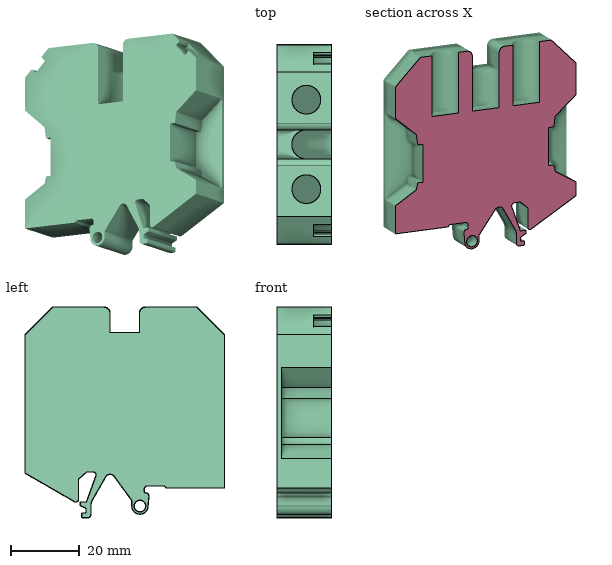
import cadquery as cq
import math

thickness = 15.9
length = 58.0
height = 61.25
half_length = length / 2

top_chamfer = 8.0
underside_z = 8.65
skirt_top_z = 13.0
skirt_inner_y = 13.4
skirt_angle = 30.0
skirt_tip_z = skirt_top_z - (half_length - skirt_inner_y) * math.tan(math.radians(skirt_angle))

notch_half_width = 4.2
notch_depth = 7.35
notch_round = 1.85
notch_floor_z = height - notch_depth

bore_radius = 4.15
bore_x = 8.6
bore_y = 13.0
bore_depth = 18.4
bore_floor_z = height - bore_depth

eye_y = -4.4
eye_z = 3.4
eye_radius = 2.4
eye_hole_radius = 1.65

entry_wall = 1.3
entry_top_z = 43.6
entry_upper_step_z = 37.9
entry_ceiling_z = 34.65
entry_floor_z = 23.35
entry_lower_step_z = 21.25
entry_bottom_z = 17.2
entry_funnel_depth = 6.7
entry_lip_depth = 7.15
entry_depth = 8.75

marker_length = 5.3
marker_mouth = 4.8
marker_neck = 4.2
marker_neck_depth = 0.75
marker_side_depth = 1.5
marker_depth = 1.8
marker_floor = marker_mouth - 2 * (marker_depth - marker_side_depth)


def rounded_corner(before, corner, after, radius):
    """Start, middle and end of the arc that rounds a corner between two straight lines."""
    p = cq.Vector(*corner)
    to_before = (cq.Vector(*before) - p).normalized()
    to_after = (cq.Vector(*after) - p).normalized()
    half_angle = to_before.getAngle(to_after) / 2
    tangent = radius / math.tan(half_angle)
    bisector = (to_before + to_after).normalized()
    middle = p + bisector * (radius / math.sin(half_angle) - radius)
    return [v.toTuple()[:2] for v in (p + to_before * tangent, middle, p + to_after * tangent)]


def prism(corners, x_start, x_length):
    """Extrude along X a closed (y, z, corner radius) outline; its first corner must be sharp."""
    points = [(y, z) for y, z, _ in corners]
    outline = cq.Workplane("YZ", origin=(x_start, 0, 0)).moveTo(*points[0])
    for i in range(1, len(corners)):
        radius = corners[i][2]
        if radius > 0:
            after = points[(i + 1) % len(points)]
            start, middle, end = rounded_corner(points[i - 1], points[i], after, radius)
            outline = outline.lineTo(*start).threePointArc(middle, end)
        else:
            outline = outline.lineTo(*points[i])
    return outline.close().extrude(x_length)


def housing():
    """Plate-shaped body with the top notch, the skirt, the spring hook and the hinge leg."""
    skirt = [
        (half_length, skirt_top_z, 0),
        (skirt_inner_y, skirt_tip_z, 0.8),
        (skirt_inner_y, 11.2, 0),
        (11.1, 13.3, 0),
        (8.0, 13.3, 0.8),
    ]
    hook = [
        (11.15, 4.65, 0),
        (13.0, 4.65, 0.2),
        (13.0, 3.55, 0.2),
        (11.3, 2.75, 0.35),
        (11.3, 1.5, 0.2),
        (12.55, 1.5, 0.3),
        (12.55, 0, 0.55),
        (9.8, 0, 1.0),
        (9.8, 3.05, 0),
        (9.75, 4.55, 3.7),
    ]
    hinge_leg = [
        (4.4, 13.85, 1.5),
        (eye_y + eye_radius, 5.0, 0),
        (eye_y + eye_radius, eye_z, 0),
        (eye_y - eye_radius, eye_z, 0),
        (-7.05, 6.0, 0),
        (-7.05, 7.3, 0.9),
        (-5.7, 7.3, 0.35),
        (-5.7, 9.25, 0.85),
    ]
    underside = [
        (-11.5, 9.25, 0),
        (-12.05, underside_z, 0),
        (-half_length, underside_z, 0),
    ]
    top = [
        (-half_length, height - top_chamfer, 0),
        (-half_length + top_chamfer, height, 0),
        (-notch_half_width, height, notch_round),
        (-notch_half_width, notch_floor_z, 0),
        (notch_half_width, notch_floor_z, 0),
        (notch_half_width, height, notch_round),
        (half_length - top_chamfer, height, 0),
        (half_length, height - top_chamfer, 0),
    ]
    body = prism(skirt + hook + hinge_leg + underside + top, 0, thickness)
    eye = cq.Workplane("YZ").center(eye_y, eye_z).circle(eye_radius).extrude(thickness)
    eye_hole = cq.Workplane("YZ").center(eye_y, eye_z).circle(eye_hole_radius).extrude(thickness)
    return body.union(eye).cut(eye_hole)


def screw_bores():
    """Two blind bores down from the top face."""
    return (
        cq.Workplane("XY", origin=(bore_x, 0, bore_floor_z))
        .pushPoints([(0, bore_y), (0, -bore_y)])
        .circle(bore_radius)
        .extrude(bore_depth)
    )


def notch_slot():
    """Slot as wide as the notch, round at its inner end and open on the +X face."""
    return (
        cq.Workplane("XY", origin=(0, 0, bore_floor_z))
        .moveTo(thickness, notch_half_width)
        .lineTo(bore_x, notch_half_width)
        .threePointArc((bore_x - notch_half_width, 0), (bore_x, -notch_half_width))
        .lineTo(thickness, -notch_half_width)
        .close()
        .extrude(notch_floor_z - bore_floor_z)
    )


def wire_entry():
    """Stepped funnel recess in the -Y end face, open on the +X face."""
    depths_and_heights = [
        (0, entry_top_z),
        (entry_funnel_depth, entry_upper_step_z),
        (entry_lip_depth, entry_ceiling_z),
        (entry_depth, entry_ceiling_z),
        (entry_depth, entry_floor_z),
        (entry_lip_depth, entry_floor_z),
        (entry_funnel_depth, entry_lower_step_z),
        (0, entry_bottom_z),
    ]
    corners = [(-half_length + depth, z, 0) for depth, z in depths_and_heights]
    return prism(corners, entry_wall, thickness - entry_wall)


def marker_groove():
    """Groove square to the -Y top chamfer, with a flared mouth and bevelled floor corners."""
    chamfer_middle_y = -half_length + top_chamfer / 2
    chamfer_middle_z = height - top_chamfer / 2
    depths_and_widths = [
        (0, marker_mouth),
        (marker_neck_depth, marker_neck),
        (marker_side_depth, marker_mouth),
        (marker_depth, marker_floor),
    ]
    upper_side = [(width / 2, -depth) for depth, width in depths_and_widths]
    lower_side = [(-along, inward) for along, inward in reversed(upper_side)]
    slope = cq.Plane(
        origin=(thickness - marker_length, chamfer_middle_y, chamfer_middle_z),
        xDir=(0, 1, 1),
        normal=(1, 0, 0),
    )
    return cq.Workplane(slope).polyline(upper_side + lower_side).close().extrude(marker_length)


result = housing().cut(screw_bores()).cut(notch_slot())

for end_cut in (wire_entry(), marker_groove()):
    result = result.cut(end_cut).cut(end_cut.mirror("XZ"))